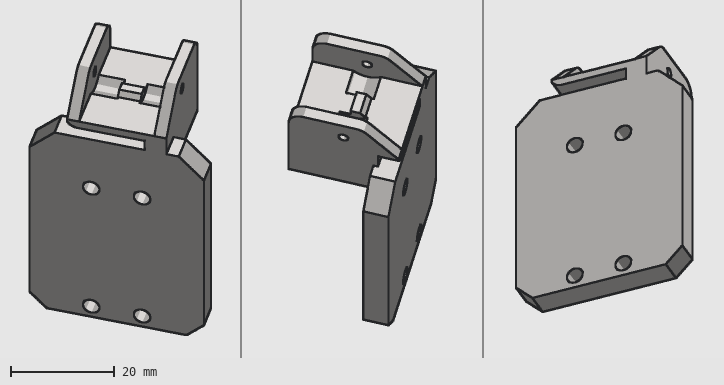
import cadquery as cq
import math

plate_width = 35.0
plate_height = 46.55
plate_thickness = 5.05
top_corner_cut = 5.05
bottom_corner_cut = 3.5
screw_hole_diameter = 3.3
screw_hole_spacing = 10.2
screw_hole_heights = (2.8, 33.8)

total_height = 57.95
bracket_width = 19.95
bracket_depth = 22.0
bracket_bottom = 38.55
floor_height = 50.65
ear_thickness = 2.45
ear_corner_radius = 3.0

pin_hole_diameter = 1.9
pin_y = 11.1
pin_z = 53.95
groove_chord = 5.55

stop_width = 4.5
stop_height = 1.05
stop_front = 8.75
stop_back = 11.7

slot_right = 5.6
slot_top = 48.9
slot_depth = 4.1
slot_lip_radius = 2.5
slot_lip_length = 2.15


def along_x(start):
    """Sketch plane in Y and Z that extrudes toward +X from the given X."""
    return cq.Workplane("YZ", origin=(start, 0, 0))


def make_plate():
    half = plate_width / 2
    plate = (
        cq.Workplane("XZ")
        .moveTo(-half + bottom_corner_cut, 0)
        .lineTo(half - bottom_corner_cut, 0)
        .lineTo(half, bottom_corner_cut)
        .lineTo(half, plate_height - top_corner_cut)
        .lineTo(half - top_corner_cut, plate_height)
        .lineTo(-half + top_corner_cut, plate_height)
        .lineTo(-half, plate_height - top_corner_cut)
        .lineTo(-half, bottom_corner_cut)
        .close()
        .extrude(-plate_thickness)
    )
    hole_centres = [
        (side * screw_hole_spacing / 2, height)
        for side in (-1, 1)
        for height in screw_hole_heights
    ]
    holes = (
        cq.Workplane("XZ")
        .pushPoints(hole_centres)
        .circle(screw_hole_diameter / 2)
        .extrude(-plate_thickness)
    )
    return plate.cut(holes)


def make_block():
    """Block behind the plate, reaching forward over the plate's top edge."""
    return (
        along_x(-bracket_width / 2)
        .moveTo(0, floor_height)
        .lineTo(0, plate_height)
        .lineTo(plate_thickness, plate_height)
        .lineTo(plate_thickness, bracket_bottom)
        .lineTo(bracket_depth, bracket_bottom)
        .lineTo(bracket_depth, floor_height)
        .close()
        .extrude(bracket_width)
    )


def make_ear(start):
    """Ear with a 45 degree front slope, rounded top corners and a pin hole."""
    slope_run = total_height - floor_height
    ear = (
        along_x(start)
        .moveTo(0, floor_height)
        .lineTo(slope_run, total_height)
        .lineTo(bracket_depth, total_height)
        .lineTo(bracket_depth, floor_height)
        .close()
        .extrude(ear_thickness)
        .edges("|X and >Z")
        .fillet(ear_corner_radius)
    )
    pin_hole = (
        along_x(start)
        .center(pin_y, pin_z)
        .circle(pin_hole_diameter / 2)
        .extrude(ear_thickness)
    )
    return ear.cut(pin_hole)


def make_groove(start, length):
    """Round clearance around the hinge axis, cut into the floor."""
    radius = math.hypot(groove_chord / 2, pin_z - floor_height)
    return along_x(start).center(pin_y, pin_z).circle(radius).extrude(length)


def make_stop():
    """Small raised stop with a 45 degree front slope."""
    stop_top = floor_height + stop_height
    return (
        along_x(-stop_width / 2)
        .moveTo(stop_front, floor_height)
        .lineTo(stop_front + stop_height, stop_top)
        .lineTo(stop_back, stop_top)
        .lineTo(stop_back, floor_height)
        .close()
        .extrude(stop_width)
    )


def make_slot():
    """Slot whose upper lip curves upward at the open -X end."""
    left = -bracket_width / 2
    lip_centre_x = left + slot_lip_length
    lip_centre_z = slot_top + slot_lip_radius
    lip_angle = math.asin(slot_lip_length / slot_lip_radius)

    def lip_point(angle):
        return (
            lip_centre_x - slot_lip_radius * math.sin(angle),
            lip_centre_z - slot_lip_radius * math.cos(angle),
        )

    return (
        cq.Workplane("XZ")
        .moveTo(left, plate_height)
        .lineTo(slot_right, plate_height)
        .lineTo(slot_right, slot_top)
        .lineTo(lip_centre_x, slot_top)
        .threePointArc(lip_point(lip_angle / 2), lip_point(lip_angle))
        .close()
        .extrude(-slot_depth)
    )


ear_inner = bracket_width / 2 - ear_thickness
groove_length = ear_inner - stop_width / 2

bracket = make_block()
for groove_start in (-ear_inner, stop_width / 2):
    bracket = bracket.cut(make_groove(groove_start, groove_length))
for ear_start in (-bracket_width / 2, ear_inner):
    bracket = bracket.union(make_ear(ear_start))
bracket = bracket.union(make_stop()).cut(make_slot())

result = make_plate().union(bracket)